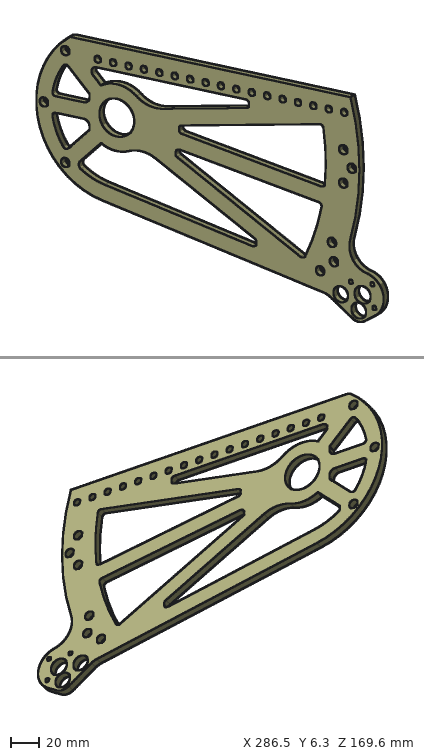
import cadquery as cq
import math

thickness = 6.3

rim_radius = 66.5
sector_radius = 200.0
top_edge_z = 54.0
top_corner_radius = 6.3
bottom_edge_angle = -10.5

wall = 12.5
half_rib = wall / 2
hub_bore_diameter = 28.6
boss_radius = 25.5
spoke_angles = (11.7, -8.5, -28.7)
diagonal_angle = 135
spoke_blend_radius = 25.5
window_inner_radius = 51.3
window_outer_radius = 172.2
window_corner_radius = 2.5
diagonal_corner_radius = 3.7
rim_window_inner_radius = 4.5
rim_window_inner_x = -22.5
top_window_z = 35.0
top_window_end_x = 109.0
bottom_window_end_x = 115.0

row_hole_diameter = 5.2
row_hole_count = 17
row_start_x = -15.8
row_end_x = 187.5
row_z = 41.3
bolt_hole_diameter = 7.0
rim_bolt_radius = 60.2
rim_bolt_angles = (135, 180, 225)
sector_bolt_outer_radius = 193.7
sector_bolt_inner_radius = 187.0
sector_bolt_half_angle = 3.9
sector_bolt_group_angles = (0, -22.5)

lug_x, lug_z = 202.5, -94.5
lug_radius = 17.5
lug_bore_diameter = 13.2
lug_blend_radius = 18.3
lug_screw_diameter = 3.2
lug_screw_circle_radius = 12.5
lug_screw_angles = (50, 140, -40)
tip_x, tip_z = 199.5, -107.1
tip_radius = 8.5
tip_edge_blend_radius = 11.5
tip_edge_angle = -34.5
side_hole_x, side_hole_z = 184.5, -97.7
side_hole_diameter = 12.0


def polar(radius, angle, center=(0, 0)):
    """Point at a radius and an angle in degrees about a center."""
    turn = math.radians(angle)
    return center[0] + radius * math.cos(turn), center[1] + radius * math.sin(turn)


def on_line(angle, offset, along):
    """Point on a line parallel to the ray at angle, shifted to its left by offset."""
    return polar(along, angle, polar(offset, angle + 90))


def line_meets_circle(angle, offset, radius):
    """Point where an offset ray leaves a circle around the hub."""
    return on_line(angle, offset, math.sqrt(radius**2 - offset**2))


def line_at_x(angle, offset, x):
    """Point of an offset line at a given x."""
    turn = math.radians(angle)
    return x, (offset + x * math.sin(turn)) / math.cos(turn)


def line_at_z(angle, offset, z):
    """Point of an offset line at a given z."""
    turn = math.radians(angle)
    return (z * math.cos(turn) - offset) / math.sin(turn), z


def lines_meet(angle_a, offset_a, angle_b, offset_b):
    """Crossing point of two offset lines."""
    gap = math.radians(angle_b - angle_a)
    return on_line(angle_a, offset_a, (offset_a * math.cos(gap) - offset_b) / math.sin(gap))


def direction(start, end):
    """Angle in degrees from one point to another."""
    return math.degrees(math.atan2(end[1] - start[1], end[0] - start[0]))


def hub_arc_middle(start, end):
    """Point halfway along the shorter arc around the hub between two points."""
    return polar(math.hypot(*start), direction((0, 0), (start[0] + end[0], start[1] + end[1])))


def extruded(profile):
    return profile.close().extrude(thickness / 2, both=True)


def round_corners(body, radius, corners):
    for x, z in corners:
        body = body.edges(cq.selectors.NearestToPointSelector((x, 0, z))).fillet(radius)
    return body


def plate():
    lug = (lug_x, lug_z)
    tip = (tip_x, tip_z)
    top_left = (-math.sqrt(rim_radius**2 - top_edge_z**2), top_edge_z)
    top_right = (math.sqrt(sector_radius**2 - top_edge_z**2), top_edge_z)

    blend_distance = sector_radius + lug_blend_radius
    lug_distance = math.hypot(*lug)
    swing = math.acos(
        (blend_distance**2 + lug_distance**2 - (lug_radius + lug_blend_radius) ** 2)
        / (2 * blend_distance * lug_distance)
    )
    blend_angle = direction((0, 0), lug) + math.degrees(swing)
    blend_center = polar(blend_distance, blend_angle)
    blend_start = polar(sector_radius, blend_angle)
    blend_to_lug = direction(blend_center, lug)
    blend_end = polar(lug_blend_radius, blend_to_lug, blend_center)
    blend_middle = polar(lug_blend_radius, (blend_angle - 180 + blend_to_lug) / 2, blend_center)

    lug_to_tip = direction(lug, tip)
    tip_distance = math.dist(lug, tip)
    tangent_angle = lug_to_tip + math.degrees(math.acos((lug_radius - tip_radius) / tip_distance))
    tip_edge_normal = tip_edge_angle - 90
    tip_middle_angle = (tangent_angle + tip_edge_normal) / 2
    lug_middle_angle = (blend_to_lug + 180 + tangent_angle) / 2

    tip_edge_offset = tip_z * math.cos(math.radians(tip_edge_angle))
    tip_edge_offset -= tip_x * math.sin(math.radians(tip_edge_angle)) + tip_radius
    tip_edge_start = lines_meet(bottom_edge_angle, -rim_radius, tip_edge_angle, tip_edge_offset)

    profile = (
        cq.Workplane("XZ")
        .moveTo(*top_left)
        .lineTo(*top_right)
        .threePointArc(hub_arc_middle(top_right, blend_start), blend_start)
        .threePointArc(blend_middle, blend_end)
        .threePointArc(polar(lug_radius, lug_middle_angle, lug), polar(lug_radius, tangent_angle, lug))
        .lineTo(*polar(tip_radius, tangent_angle, tip))
        .threePointArc(polar(tip_radius, tip_middle_angle, tip), polar(tip_radius, tip_edge_normal, tip))
        .lineTo(*tip_edge_start)
        .lineTo(*polar(rim_radius, bottom_edge_angle - 90))
        .threePointArc((-rim_radius, 0), top_left)
    )
    body = round_corners(extruded(profile), top_corner_radius, [top_left])
    return round_corners(body, tip_edge_blend_radius, [tip_edge_start])


def rim_window():
    """Window between the level rib and the upper diagonal rib."""
    outer_radius = rim_radius - wall
    level_inner = (rim_window_inner_x, half_rib)
    level_outer = line_meets_circle(180, -half_rib, outer_radius)
    diagonal_outer = line_meets_circle(diagonal_angle, half_rib, outer_radius)
    diagonal_inner = line_at_x(diagonal_angle, half_rib, rim_window_inner_x)
    profile = (
        cq.Workplane("XZ")
        .moveTo(*level_inner)
        .lineTo(*level_outer)
        .threePointArc(hub_arc_middle(level_outer, diagonal_outer), diagonal_outer)
        .lineTo(*diagonal_inner)
    )
    body = round_corners(extruded(profile), rim_window_inner_radius, [level_inner])
    return round_corners(body, window_corner_radius, [level_outer, diagonal_outer])


def spoke_window(upper_angle, lower_angle):
    """Window between two neighbouring spokes."""
    upper_inner = line_meets_circle(upper_angle, -half_rib, window_inner_radius)
    upper_outer = line_meets_circle(upper_angle, -half_rib, window_outer_radius)
    lower_inner = line_meets_circle(lower_angle, half_rib, window_inner_radius)
    lower_outer = line_meets_circle(lower_angle, half_rib, window_outer_radius)
    profile = (
        cq.Workplane("XZ")
        .moveTo(*upper_inner)
        .lineTo(*upper_outer)
        .threePointArc(hub_arc_middle(upper_outer, lower_outer), lower_outer)
        .lineTo(*lower_inner)
        .threePointArc(hub_arc_middle(lower_inner, upper_inner), upper_inner)
    )
    corners = [upper_inner, upper_outer, lower_outer, lower_inner]
    return round_corners(extruded(profile), window_corner_radius, corners)


def top_window():
    """Window between the hole row, the boss and the top spoke."""
    spoke_angle = spoke_angles[0]
    diagonal_top = line_at_z(diagonal_angle, -half_rib, top_window_z)
    diagonal_boss = line_meets_circle(diagonal_angle, -half_rib, boss_radius)
    spoke_boss = line_meets_circle(spoke_angle, half_rib, boss_radius)
    spoke_end = line_at_x(spoke_angle, half_rib, top_window_end_x)
    top_end = (top_window_end_x, top_window_z)
    profile = (
        cq.Workplane("XZ")
        .moveTo(*diagonal_top)
        .lineTo(*diagonal_boss)
        .threePointArc(hub_arc_middle(diagonal_boss, spoke_boss), spoke_boss)
        .lineTo(*spoke_end)
        .lineTo(*top_end)
    )
    body = round_corners(extruded(profile), spoke_blend_radius, [spoke_boss])
    body = round_corners(body, diagonal_corner_radius, [diagonal_top])
    return round_corners(body, window_corner_radius, [spoke_end, top_end])


def bottom_window():
    """Window between the lower edge, the boss and the bottom spoke."""
    spoke_angle = spoke_angles[-1]
    inner_rim = rim_radius - wall
    diagonal_rim = line_meets_circle(-diagonal_angle, half_rib, inner_rim)
    diagonal_boss = line_meets_circle(-diagonal_angle, half_rib, boss_radius)
    spoke_boss = line_meets_circle(spoke_angle, -half_rib, boss_radius)
    spoke_end = line_at_x(spoke_angle, -half_rib, bottom_window_end_x)
    edge_end = line_at_x(bottom_edge_angle, -inner_rim, bottom_window_end_x)
    edge_start = polar(inner_rim, bottom_edge_angle - 90)
    profile = (
        cq.Workplane("XZ")
        .moveTo(*diagonal_rim)
        .lineTo(*diagonal_boss)
        .threePointArc(hub_arc_middle(diagonal_boss, spoke_boss), spoke_boss)
        .lineTo(*spoke_end)
        .lineTo(*edge_end)
        .lineTo(*edge_start)
        .threePointArc(hub_arc_middle(edge_start, diagonal_rim), diagonal_rim)
    )
    body = round_corners(extruded(profile), spoke_blend_radius, [spoke_boss])
    body = round_corners(body, diagonal_corner_radius, [diagonal_rim])
    return round_corners(body, window_corner_radius, [spoke_end, edge_end])


def holes(diameter, centers):
    profile = cq.Workplane("XZ").pushPoints(centers).circle(diameter / 2)
    return profile.extrude(thickness / 2, both=True)


def bolt_centers():
    centers = [polar(rim_bolt_radius, angle) for angle in rim_bolt_angles]
    for angle in sector_bolt_group_angles:
        centers.append(polar(sector_bolt_outer_radius, angle))
        for side in (-1, 1):
            centers.append(polar(sector_bolt_inner_radius, angle + side * sector_bolt_half_angle))
    return centers


row_pitch = (row_end_x - row_start_x) / (row_hole_count - 1)
row_centers = [(row_start_x + i * row_pitch, row_z) for i in range(row_hole_count)]
lug_screw_centers = [
    polar(lug_screw_circle_radius, angle, (lug_x, lug_z)) for angle in lug_screw_angles
]

upper_rim_window = rim_window()
cutouts = [
    upper_rim_window,
    upper_rim_window.mirror("XY"),
    top_window(),
    bottom_window(),
    holes(hub_bore_diameter, [(0, 0)]),
    holes(row_hole_diameter, row_centers),
    holes(bolt_hole_diameter, bolt_centers()),
    holes(lug_bore_diameter, [(lug_x, lug_z)]),
    holes(lug_screw_diameter, lug_screw_centers),
    holes(side_hole_diameter, [(side_hole_x, side_hole_z), (tip_x, tip_z)]),
]
for upper_angle, lower_angle in zip(spoke_angles, spoke_angles[1:]):
    cutouts.append(spoke_window(upper_angle, lower_angle))

result = plate()
for cutout in cutouts:
    result = result.cut(cutout)